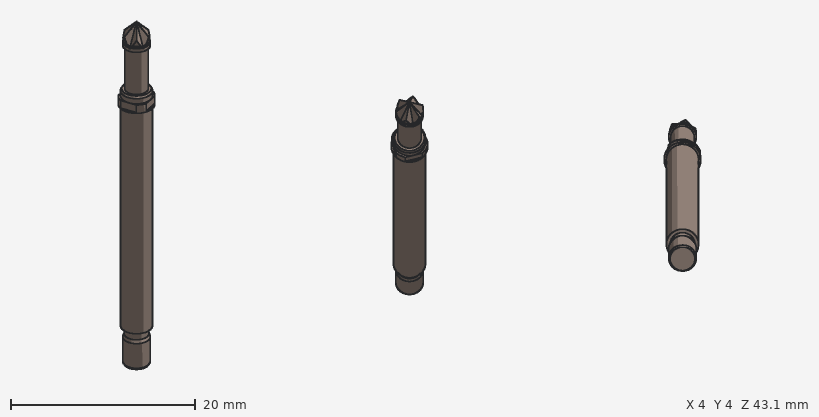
import cadquery as cq
import math

total_length = 43.1

tail_radius = 1.5
tail_chamfer = 0.15
tail_chamfer_height = 0.25
neck_radius = 1.35
neck_bottom = 3.75
tail_shoulder = 3.35

barrel_radius = 1.75
barrel_bottom = 4.75
barrel_top = total_length - 8.45
mouth_radius = 1.6
mouth_chamfer_height = 0.25

collar_radius = 2.0
collar_top = total_length - 9.35
collar_height = 1.05
flange_thickness = 0.1
collar_bottom = collar_top - collar_height
flat_bottom = collar_bottom + flange_thickness

plunger_radius = 1.28
head_radius = 1.5
head_height = 3.0
point_count = 6
ridge_slope = math.radians(45)
valley_slope = math.radians(60.8)
head_bottom = total_length - head_height

ring_groove_depth = 0.1
ring_groove_height = 0.3
ring_groove_middle = total_length - 2.4


def make_turned_body():
    """Tail, neck, barrel and plunger rod as one revolved profile."""
    profile = [
        (0, 0),
        (tail_radius - tail_chamfer, 0),
        (tail_radius, tail_chamfer_height),
        (tail_radius, tail_shoulder),
        (neck_radius, neck_bottom),
        (neck_radius, barrel_bottom),
        (barrel_radius, barrel_bottom),
        (barrel_radius, barrel_top - mouth_chamfer_height),
        (mouth_radius, barrel_top),
        (plunger_radius, barrel_top),
        (plunger_radius, head_bottom),
        (0, head_bottom),
    ]
    return cq.Workplane("XZ").polyline(profile).close().revolve(360, (0, 0), (0, 1))


def make_collar():
    """Round collar whose four flats lie tangent to the barrel and stop above the flange."""
    flange_plane = cq.Workplane("XY").workplane(offset=collar_bottom)
    flange = flange_plane.circle(collar_radius).extrude(flange_thickness)
    flatted_height = collar_top - flat_bottom
    flat_plane = cq.Workplane("XY").workplane(offset=flat_bottom)
    round_part = flat_plane.circle(collar_radius).extrude(flatted_height)
    square_part = flat_plane.rect(2 * barrel_radius, 2 * barrel_radius).extrude(flatted_height)
    return flange.union(round_part.intersect(square_part))


def make_star_pyramid():
    """Pyramid with a star base: ridges and valleys alternate and all run from the apex."""
    apex = cq.Vector(0, 0, total_length)
    ridge_reach = head_height / math.tan(ridge_slope)
    valley_reach = head_height / math.tan(valley_slope)
    corners = []
    for i in range(2 * point_count):
        angle = math.pi * i / point_count
        reach = ridge_reach if i % 2 == 0 else valley_reach
        corners.append(cq.Vector(reach * math.cos(angle), reach * math.sin(angle), head_bottom))
    faces = [cq.Face.makeFromWires(cq.Wire.makePolygon(corners, close=True))]
    for i, corner in enumerate(corners):
        side = cq.Wire.makePolygon([corners[i - 1], corner, apex], close=True)
        faces.append(cq.Face.makeFromWires(side))
    return cq.Workplane(cq.Solid.makeSolid(cq.Shell.makeShell(faces)))


def make_head():
    """Grooved cylinder trimmed by the star pyramid."""
    half_groove = ring_groove_height / 2
    profile = [
        (0, head_bottom),
        (head_radius, head_bottom),
        (head_radius, ring_groove_middle - half_groove),
        (head_radius - ring_groove_depth, ring_groove_middle),
        (head_radius, ring_groove_middle + half_groove),
        (head_radius, total_length),
        (0, total_length),
    ]
    blank = cq.Workplane("XZ").polyline(profile).close().revolve(360, (0, 0), (0, 1))
    return blank.intersect(make_star_pyramid())


result = make_turned_body().union(make_collar()).union(make_head())